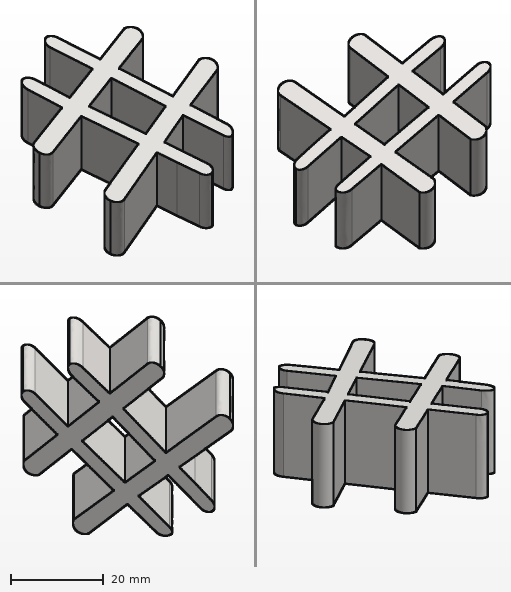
import cadquery as cq

HEIGHT = 20.0

LEFT_X = -9.45
LEFT_WIDTH = 4.75
LEFT_OUTER = LEFT_X - LEFT_WIDTH / 2
LEFT_INNER = LEFT_X + LEFT_WIDTH / 2

LOWER_ARM_TOP = -3.5
LOWER_ARM_BOTTOM = -6.65

ELLIPSE_FULLNESS = 0.5523

LEFTWARD = (-1, 0)
RIGHTWARD = (1, 0.03)
DOWNWARD = (0, -1)
DOWN_SKEWED = (0.04, -1)


def toward(point, target):
    """Point lying the ellipse fraction of the way from point to target."""
    return tuple(p + ELLIPSE_FULLNESS * (t - p) for p, t in zip(point, target))


def shoulder(side, tip, direction):
    """Corner reached from a side point along the arm, level with the tip."""
    dx, dy = direction
    reach = ((tip[0] - side[0]) * dx + (tip[1] - side[1]) * dy) / (dx**2 + dy**2)
    return side[0] + reach * dx, side[1] + reach * dy


def elliptical_end(outline, start, tip, end, direction):
    """Draw one arm side up to start, then two quarter-ellipse curves over the tip to end."""
    first = shoulder(start, tip, direction)
    second = shoulder(end, tip, direction)
    outline = outline.lineTo(*start)
    outline = outline.bezier([start, toward(start, first), toward(tip, first), tip])
    return outline.bezier([tip, toward(tip, second), toward(end, second), end])


def arc_end(outline, start, tip, end):
    """Draw one arm side up to start, then a shallow arc over the tip to end."""
    return outline.lineTo(*start).threePointArc(tip, end)


outline = cq.Workplane("XY").workplane(offset=-HEIGHT / 2).moveTo(LEFT_OUTER, 8.6)

outline = arc_end(outline, (LEFT_OUTER, 18.3), (LEFT_X, 19.75), (LEFT_INNER, 18.3))
outline = outline.lineTo(LEFT_INNER, 8.75).lineTo(6.65, 8.9)

outline = arc_end(outline, (6.2, 20.15), (8.55, 21.65), (10.95, 20.2))
outline = outline.lineTo(11.15, 9.0)

outline = elliptical_end(outline, (20.4, 9.05), (23.0, 6.95), (21.45, 6.1), RIGHTWARD)
outline = outline.lineTo(11.25, 5.85).lineTo(11.75, -2.35)

outline = elliptical_end(outline, (22.55, -2.05), (24.75, -3.5), (22.55, -5.1), RIGHTWARD)
outline = outline.lineTo(16.95, -5.35).lineTo(11.85, -5.5)

outline = elliptical_end(outline, (12.63, -19.7), (10.3, -21.65), (7.8, -19.85), DOWN_SKEWED)
outline = outline.lineTo(7.25, -5.75).lineTo(LEFT_INNER, -6.3)

outline = elliptical_end(outline, (LEFT_INNER, -17.65), (LEFT_X, -19.3), (LEFT_OUTER, -17.65), DOWNWARD)
outline = outline.lineTo(LEFT_OUTER, LOWER_ARM_BOTTOM)

outline = elliptical_end(
    outline, (-20.5, LOWER_ARM_BOTTOM), (-23.0, -5.05), (-20.5, LOWER_ARM_TOP), LEFTWARD
)
outline = outline.lineTo(LEFT_OUTER, LOWER_ARM_TOP).lineTo(LEFT_OUTER, 5.55)

outline = elliptical_end(outline, (-22.6, 5.35), (-24.75, 6.95), (-22.6, 8.4), LEFTWARD)
body = outline.close().extrude(HEIGHT)

window_corners = [(LEFT_INNER, 5.7), (6.8, 5.8), (7.15, -2.6), (LEFT_INNER, -3.15)]
window = cq.Workplane("XY").polyline(window_corners).close().extrude(HEIGHT / 2, both=True)

result = body.cut(window)